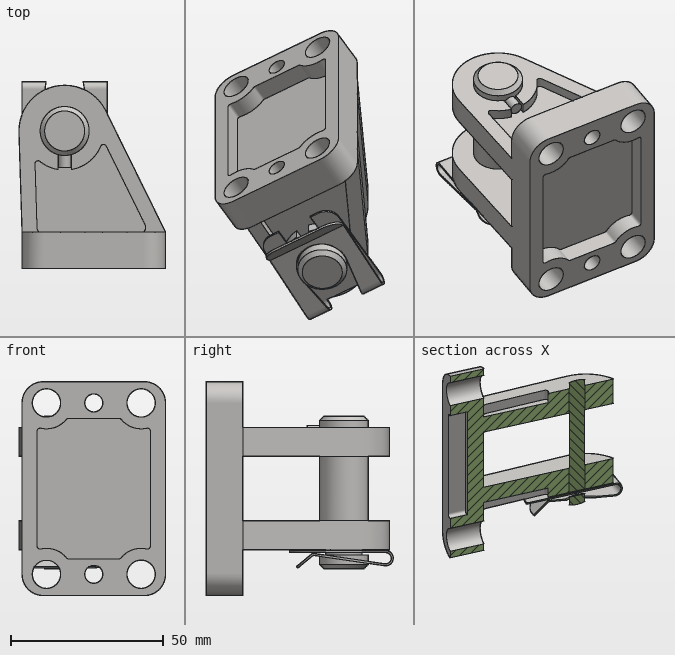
import cadquery as cq
import math

plate_width = 47.0
plate_height = 70.0
plate_thickness = 12.0
plate_corner_radius = 7.0
corner_hole_diameter = 9.2
corner_hole_x = 15.5
hole_row_z = 28.0
middle_hole_diameter = 5.8
recess_width = 37.0
recess_height = 46.0
recess_depth = 6.0
recess_fillet = 1.0
boss_radius = 8.5

pin_diameter = 16.0
pin_x = -9.5
pin_y = 45.0
lug_radius = 15.0
lug_inner_z = 10.5
lug_thickness = 9.5
lug_outer_z = lug_inner_z + lug_thickness
rim_width = 5.0
eye_radius = 12.8
pocket_depth = 3.5
pocket_base_y = 11.5
pocket_tip_fillet = 1.0
pocket_base_fillet = 2.0
peg_slot_width = 4.4

pin_top_z = 23.7
pin_length = 50.0
pin_bottom_z = pin_top_z - pin_length
pin_chamfer = 1.5
groove_diameter = 12.0
groove_width = 1.6
peg_diameter = 4.0
peg_reach = 12.0
peg_z = 18.7

clip_width = 28.0
clip_thickness = 0.7
clip_clearance = 0.2
clip_top_z = -lug_outer_z - clip_clearance
clip_front_y = 27.2
clip_corner_radius = 5.0
bend_radius = 2.5
bend_y = 58.65
arm_angle = math.radians(8.3)
arm_length = 23.9
lip_angle = math.radians(39.5)
lip_length = 6.85
window_radius = 8.5
window_end_half_width = 6.0


def cylinder_z(x, y, z, diameter, height):
    return cq.Workplane("XY", origin=(x, y, z)).circle(diameter / 2).extrude(height)


def box_between(low, high):
    size = [b - a for a, b in zip(low, high)]
    return cq.Workplane("XY").box(*size, centered=False).translate(low)



def plate_block(width, height, depth):
    """Block centred on X and Z that grows from Y = 0 toward +Y."""
    return cq.Workplane("XZ").rect(width, height).extrude(-depth)


def make_recess():
    corner_holes = [(sx * corner_hole_x, sz * hole_row_z) for sx in (-1, 1) for sz in (-1, 1)]
    bosses = cq.Workplane("XZ").pushPoints(corner_holes).circle(boss_radius).extrude(-recess_depth)
    recess = plate_block(recess_width, recess_height, recess_depth).cut(bosses)
    return recess.edges("|Y").fillet(recess_fillet)


def make_plate():
    plate = plate_block(plate_width, plate_height, plate_thickness)
    plate = plate.edges("|Y").fillet(plate_corner_radius)
    for sz in (-1, 1):
        for x, diameter in (
            (-corner_hole_x, corner_hole_diameter),
            (0, middle_hole_diameter),
            (corner_hole_x, corner_hole_diameter),
        ):
            hole = cq.Workplane("XZ").center(x, sz * hole_row_z).circle(diameter / 2)
            plate = plate.cut(hole.extrude(-plate_thickness))
    return plate.cut(make_recess())


def flank_normal_angle(side):
    """Direction from the pin axis to where a lug flank touches the lug nose (side -1 left, +1 right)."""
    dx = side * plate_width / 2 - pin_x
    dy = plate_thickness - pin_y
    return math.atan2(dy, dx) + side * math.acos(lug_radius / math.hypot(dx, dy))


def flank_points(side, radius, base_y):
    """Tangent point of a flank at the given radius, and the point where that flank reaches base_y."""
    angle = flank_normal_angle(side)
    normal_x = math.cos(angle)
    normal_y = math.sin(angle)
    tangent = (pin_x + radius * normal_x, pin_y + radius * normal_y)
    base_x = tangent[0] + (tangent[1] - base_y) * normal_y / normal_x
    return tangent, (base_x, base_y)


def flank_outline(radius, base_y, z):
    left_tangent, left_base = flank_points(-1, radius, base_y)
    right_tangent, right_base = flank_points(1, radius, base_y)
    corners = [left_base, left_tangent, right_tangent, right_base]
    return cq.Workplane("XY", origin=(0, 0, z)).polyline(corners).close()


def make_lug_pocket():
    floor_z = lug_outer_z - pocket_depth
    pocket = flank_outline(lug_radius - rim_width, pocket_base_y, floor_z).extrude(pocket_depth)
    pocket = pocket.cut(cylinder_z(pin_x, pin_y, floor_z, 2 * eye_radius, pocket_depth))
    pocket = pocket.edges("|Z").edges("not <Y").fillet(pocket_tip_fillet)
    return pocket.edges("|Z").edges("<Y").fillet(pocket_base_fillet)


def make_upper_lug():
    lug = flank_outline(lug_radius, plate_thickness, lug_inner_z).extrude(lug_thickness)
    lug = lug.union(cylinder_z(pin_x, pin_y, lug_inner_z, 2 * lug_radius, lug_thickness))
    lug = lug.cut(make_lug_pocket())
    peg_slot = box_between(
        (pin_x - peg_slot_width / 2, pin_y - eye_radius, lug_outer_z - pocket_depth),
        (pin_x + peg_slot_width / 2, pin_y, lug_outer_z),
    )
    lug = lug.cut(peg_slot)
    return lug.cut(cylinder_z(pin_x, pin_y, lug_inner_z, pin_diameter, lug_thickness))


def make_bracket():
    upper_lug = make_upper_lug()
    lower_lug = upper_lug.mirror("XY")
    return make_plate().union(upper_lug).union(lower_lug)



def make_pin():
    pin = cylinder_z(pin_x, pin_y, pin_bottom_z, pin_diameter, pin_length)
    pin = pin.faces("<Z or >Z").chamfer(pin_chamfer)
    groove = (
        cq.Workplane("XY", origin=(pin_x, pin_y, -lug_outer_z))
        .circle(pin_diameter / 2)
        .circle(groove_diameter / 2)
        .extrude(-groove_width)
    )
    peg = cq.Workplane("XZ", origin=(pin_x, pin_y, peg_z)).circle(peg_diameter / 2).extrude(peg_reach)
    return pin.cut(groove).union(peg)



def step(point, direction, distance):
    return (point[0] + direction[0] * distance, point[1] + direction[1] * distance)


def make_clip_strip():
    """Bent strip: flat upper arm, round bend, sloping lower arm and down-turned lip."""
    inner_radius = bend_radius - clip_thickness
    bend = (bend_y, clip_top_z - bend_radius)
    arm = (-math.cos(arm_angle), math.sin(arm_angle))
    arm_under = (-math.sin(arm_angle), -math.cos(arm_angle))
    lip = (-math.cos(lip_angle), -math.sin(lip_angle))
    lip_under = (math.sin(lip_angle), -math.cos(lip_angle))

    mitre = (arm_under[0] + lip_under[0], arm_under[1] + lip_under[1])
    mitre_scale = clip_thickness / (1 + arm_under[0] * lip_under[0] + arm_under[1] * lip_under[1])
    fold_top = step(step(bend, arm_under, inner_radius), arm, arm_length)
    fold_under = step(fold_top, mitre, mitre_scale)
    lip_end_top = step(fold_top, lip, lip_length)
    lip_end_under = step(lip_end_top, lip_under, clip_thickness)

    strip = (
        cq.Workplane("YZ", origin=(pin_x - clip_width / 2, 0, 0))
        .moveTo(clip_front_y, clip_top_z)
        .lineTo(bend_y, clip_top_z)
        .threePointArc(step(bend, (1, 0), bend_radius), step(bend, arm_under, bend_radius))
        .lineTo(*fold_under)
        .lineTo(*lip_end_under)
        .lineTo(*lip_end_top)
        .lineTo(*fold_top)
        .lineTo(*step(bend, arm_under, inner_radius))
        .threePointArc(step(bend, (1, 0), inner_radius), step(bend, (0, 1), inner_radius))
        .lineTo(clip_front_y, clip_top_z - clip_thickness)
        .close()
        .extrude(clip_width)
    )
    strip = strip.edges("|Z").edges("<Y").fillet(clip_corner_radius)
    lip_corners = cq.selectors.ParallelDirSelector(cq.Vector(0, *lip_under))
    return strip.edges(lip_corners).fillet(clip_corner_radius)


def make_fork_slot():
    """Slot in the upper arm that takes the neck of the pin, open toward the plate."""
    bottom_z = clip_top_z - clip_thickness
    neck = cylinder_z(pin_x, pin_y, bottom_z, groove_diameter, clip_thickness)
    mouth = box_between(
        (pin_x - groove_diameter / 2, clip_front_y, bottom_z),
        (pin_x + groove_diameter / 2, pin_y, clip_top_z),
    )
    return neck.union(mouth)


def make_window():
    """Opening for the pin end in the lower arm, narrowing toward the bend and running through it."""
    end_reach = bend_y + bend_radius - pin_y
    end_angle = math.atan2(end_reach, window_end_half_width)
    tangent_angle = end_angle - math.acos(window_radius / math.hypot(end_reach, window_end_half_width))
    tangent_x = window_radius * math.cos(tangent_angle)
    tangent_y = window_radius * math.sin(tangent_angle)
    depth = clip_top_z - pin_bottom_z
    window = (
        cq.Workplane("XY", origin=(pin_x, pin_y, pin_bottom_z))
        .moveTo(-window_end_half_width, end_reach)
        .lineTo(-tangent_x, tangent_y)
        .threePointArc((0, -window_radius), (tangent_x, tangent_y))
        .lineTo(window_end_half_width, end_reach)
        .close()
        .extrude(depth)
    )
    upper_arm_zone = box_between(
        (pin_x - clip_width / 2, clip_front_y, clip_top_z - clip_thickness),
        (pin_x + clip_width / 2, bend_y, clip_top_z),
    )
    return window.cut(upper_arm_zone)


def make_clip():
    return make_clip_strip().cut(make_fork_slot()).cut(make_window())


bracket = make_bracket()
pin = make_pin()
clip = make_clip()

result = cq.Compound.makeCompound([bracket.solids().val(), pin.solids().val(), clip.solids().val()])